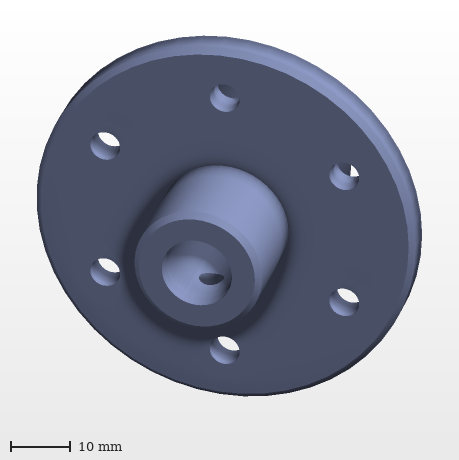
import cadquery as cq

flange_diameter = 66.0
flange_thickness = 5.0
front_hub_diameter = 22.2
front_hub_length = 18.0
rear_hub_diameter = 30.0
rear_hub_length = 21.0
bore_diameter = 12.2
edge_chamfer = 1.0

bolt_hole_count = 6
bolt_hole_diameter = 5.2
bolt_circle_diameter = 48.0

set_screw_diameter = 4.2
set_screw_from_flange = 8.5

flange_front = 0.0
flange_back = flange_front + flange_thickness
hub_front = flange_front - front_hub_length
hub_back = flange_back + rear_hub_length
part_length = hub_back - hub_front


def disc(diameter, start, length):
    """Solid cylinder on the Y axis, running from Y = start toward +Y."""
    plane = cq.Workplane("XZ", origin=(0, start, 0))
    return plane.circle(diameter / 2).extrude(-length)


def flange():
    """Round plate with a chamfered front rim."""
    plate = disc(flange_diameter, flange_front, flange_thickness)
    return plate.faces("<Y").chamfer(edge_chamfer)


def front_hub():
    """Narrow hub with a chamfered free end."""
    hub = disc(front_hub_diameter, hub_front, front_hub_length)
    return hub.faces("<Y").chamfer(edge_chamfer)


def bolt_holes():
    """Ring of through holes in the flange, the first on the X = 0 plane."""
    first_angle = 90
    plane = cq.Workplane("XZ", origin=(0, flange_front, 0))
    ring = plane.polarArray(bolt_circle_diameter / 2, first_angle, 360, bolt_hole_count)
    return ring.circle(bolt_hole_diameter / 2).extrude(-flange_thickness)


def set_screw_hole():
    """Radial hole from the -Z side of the front hub into the bore."""
    plane = cq.Workplane("XY", origin=(0, flange_front - set_screw_from_flange, 0))
    return plane.circle(set_screw_diameter / 2).extrude(-front_hub_diameter / 2)


rear_hub = disc(rear_hub_diameter, flange_back, rear_hub_length)
body = flange().union(front_hub()).union(rear_hub)
bore = disc(bore_diameter, hub_front, part_length)
result = body.cut(bore).cut(bolt_holes()).cut(set_screw_hole())